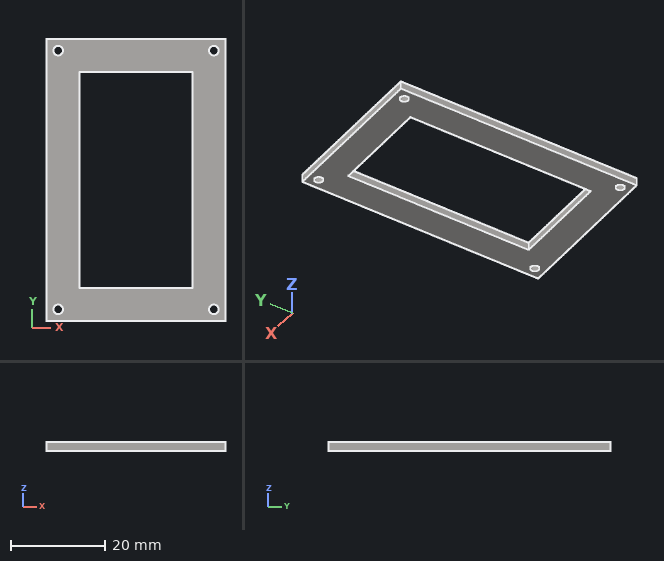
import cadquery as cq

width = 37.95
length = 59.8
thickness = 2.0

border = 7.05
window_width = width - 2 * border
window_length = length - 2 * border

hole_diameter = 2.0
hole_inset = 2.5
hole_spacing_x = width - 2 * hole_inset
hole_spacing_y = length - 2 * hole_inset

plate = cq.Workplane("XY").box(width, length, thickness, centered=(True, True, False))

framed = plate.faces(">Z").workplane().rect(window_width, window_length).cutThruAll()

result = (
    framed.faces(">Z")
    .workplane(origin=(0, 0, thickness))
    .rect(hole_spacing_x, hole_spacing_y, forConstruction=True)
    .vertices()
    .hole(hole_diameter)
)